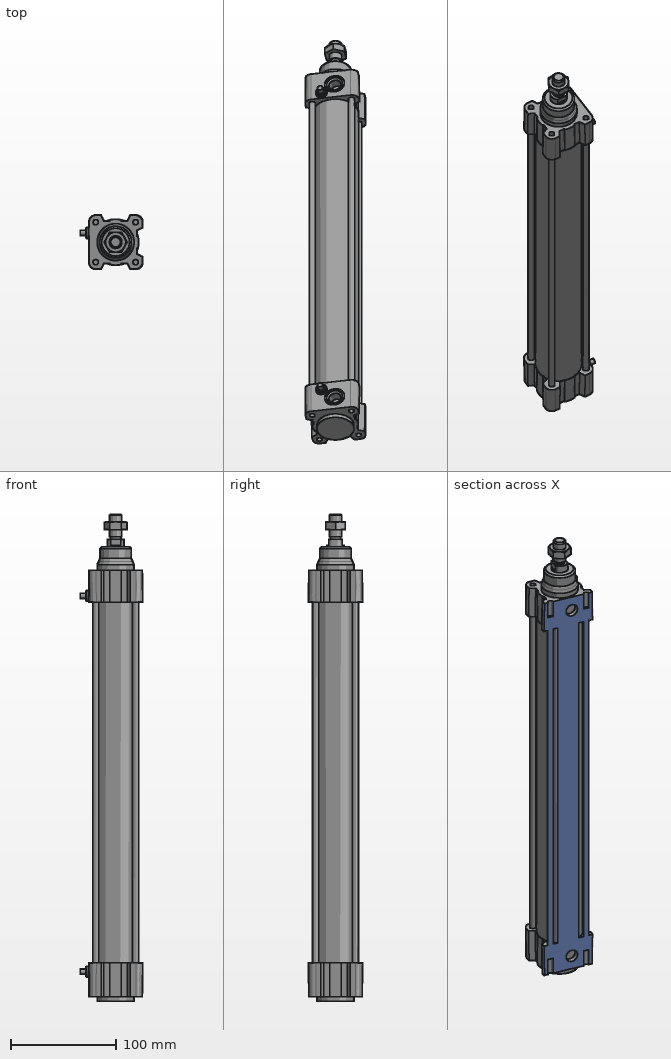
import cadquery as cq
import math

total_length = 463.0
spigot_height = 4.0
rear_head_height = 32.5
front_head_height = 30.5
front_head_bottom = 379.0
rear_head_bottom = spigot_height
rear_head_top = rear_head_bottom + rear_head_height
front_head_top = front_head_bottom + front_head_height

tube_diameter = 44.0
tie_rod_diameter = 6.0
corner_offset = 19.0

lug_radius = 6.5
flank_top = 14.0
flank_foot = 11.0
recess_offset = 20.0
bulge_half_width = 5.5
bulge_diameter = 43.5
head_growth = 0.5
lug_edge = corner_offset + lug_radius
corner_hole_diameter = 5.0
corner_hole_depth = 16.0

spigot_diameter = 35.0
bush_diameter = 30.0
bush_shoulder_diameter = 32.5
collar_top = front_head_top + 5.0
shoulder_top = collar_top + 3.2
bush_foot = shoulder_top + 3.0
bush_top = 432.0
bush_edge_chamfer = 2.0

port_y = -3.5
port_height_front = 395.0
port_height_rear = 18.5
port_spotface_diameter = 19.0
port_spotface_depth = 0.5
port_mouth_diameter = 15.5
port_bore_diameter = 11.5
port_depth = 11.5
screw_y = 9.0
screw_height_front = 385.0
screw_height_rear = 28.2
screw_collar_diameter = 10.5
screw_collar_tip_diameter = 9.0
screw_collar_rim = 2.0
screw_collar_length = 3.0
screw_pin_diameter = 5.0
screw_reach = 34.0

rod_diameter = 16.0
rod_bottom = front_head_bottom
flats_width = 13.0
flats_bottom = bush_top + 1.5
shoulder_z = 439.0
neck_diameter = 10.0
neck_length = 2.5
thread_diameter = 12.0
thread_chamfer = 1.5

nut_width = 19.0
nut_bottom = 448.0
nut_height = 7.5
nut_chamfer_angle = math.radians(30)


def cylinder(diameter, bottom, top):
    return cq.Workplane("XY").workplane(offset=bottom).circle(diameter / 2).extrude(top - bottom)


def turned(x, y, quarters):
    """Turn a point clockwise about the cylinder axis by quarter turns."""
    for _ in range(quarters):
        x, y = y, -x
    return x, y


def head_outline(z, growth):
    """Outline at height z: a flat -X side, recesses on the other three, and a round lug at each corner."""
    radius = lug_radius + growth
    outer = corner_offset + radius
    recess = recess_offset + growth
    lug_mid = corner_offset + radius * math.sqrt(0.5)
    flat_lug_x = radius - lug_edge
    flat_lug_mid = (flat_lug_x - radius * math.sqrt(0.5), lug_mid)

    outline = (
        cq.Workplane("XY", origin=(0, 0, z))
        .moveTo(-lug_edge, corner_offset)
        .threePointArc(flat_lug_mid, (flat_lug_x, outer))
    )
    for side in range(3):
        outline = (
            outline.lineTo(*turned(-flank_top, outer, side))
            .lineTo(*turned(-flank_foot, recess, side))
            .lineTo(*turned(flank_foot, recess, side))
            .lineTo(*turned(flank_top, outer, side))
        )
        if side < 2:
            outline = outline.lineTo(*turned(corner_offset, outer, side)).threePointArc(
                turned(lug_mid, lug_mid, side), turned(outer, corner_offset, side)
            )
    return (
        outline.lineTo(flat_lug_x, -outer)
        .threePointArc((flat_lug_mid[0], -lug_mid), (-lug_edge, -corner_offset))
        .close()
        .wire()
        .val()
    )


def head(height):
    """Head with its end face at Z = 0, growing upwards towards the tube."""
    outlines = [head_outline(0, 0), head_outline(height, head_growth)]
    body = cq.Workplane(cq.Solid.makeLoft(outlines, True))
    bulge_strips = cq.Workplane("XY")
    for angle in (0, 90):
        strip = cq.Workplane("XY").rect(bulge_diameter, 2 * bulge_half_width).extrude(height)
        bulge_strips = bulge_strips.union(strip.rotate((0, 0, 0), (0, 0, 1), angle))
    bulges = cylinder(bulge_diameter, 0, height).intersect(bulge_strips)
    corner_holes = (
        cq.Workplane("XY")
        .rect(2 * corner_offset, 2 * corner_offset, forConstruction=True)
        .vertices()
        .circle(corner_hole_diameter / 2)
        .extrude(corner_hole_depth)
    )
    return body.union(bulges).cut(corner_holes)


def side_revolved(points, y, z):
    """Turn (radius, x) points about an axis parallel to X through (y, z)."""
    return (
        cq.Workplane("XY")
        .polyline([(x, radius) for radius, x in points])
        .close()
        .revolve(360, (0, 0, 0), (1, 0, 0))
        .translate((0, y, z))
    )


def port_cutter(z):
    face = -lug_edge
    floor = face + port_spotface_depth
    mouth_depth = (port_mouth_diameter - port_bore_diameter) / 2
    points = [
        (0, face),
        (port_spotface_diameter / 2, face),
        (port_spotface_diameter / 2, floor),
        (port_mouth_diameter / 2, floor),
        (port_bore_diameter / 2, floor + mouth_depth),
        (port_bore_diameter / 2, face + port_depth),
        (0, face + port_depth),
    ]
    return side_revolved(points, port_y, z)


def cushion_screw(z):
    face = -lug_edge
    collar_tip = face - screw_collar_length
    points = [
        (0, face),
        (screw_collar_diameter / 2, face),
        (screw_collar_diameter / 2, face - screw_collar_rim),
        (screw_collar_tip_diameter / 2, collar_tip),
        (screw_pin_diameter / 2, collar_tip),
        (screw_pin_diameter / 2, -screw_reach),
        (0, -screw_reach),
    ]
    return side_revolved(points, screw_y, z)


def guide_bush():
    points = [
        (0, front_head_top),
        (spigot_diameter / 2, front_head_top),
        (spigot_diameter / 2, collar_top),
        (bush_shoulder_diameter / 2, shoulder_top),
        (bush_diameter / 2, bush_foot),
        (bush_diameter / 2, bush_top - bush_edge_chamfer),
        (bush_diameter / 2 - bush_edge_chamfer, bush_top),
        (0, bush_top),
    ]
    return cq.Workplane("XZ").polyline(points).close().revolve(360, (0, 0, 0), (0, 1, 0))


def make_housing():
    rear_head = head(rear_head_height).translate((0, 0, rear_head_bottom))
    front_head = (
        head(front_head_height)
        .rotate((0, 0, 0), (1, 0, 0), 180)
        .translate((0, 0, front_head_top))
    )
    tie_rods = (
        cq.Workplane("XY")
        .workplane(offset=rear_head_top)
        .rect(2 * corner_offset, 2 * corner_offset, forConstruction=True)
        .vertices()
        .circle(tie_rod_diameter / 2)
        .extrude(front_head_bottom - rear_head_top)
    )
    body = (
        rear_head.union(front_head)
        .union(cylinder(tube_diameter, rear_head_top, front_head_bottom))
        .union(tie_rods)
        .union(cylinder(spigot_diameter, 0, rear_head_bottom))
        .union(guide_bush())
    )
    for z in (port_height_rear, port_height_front):
        body = body.cut(port_cutter(z))
    for z in (screw_height_rear, screw_height_front):
        body = body.union(cushion_screw(z))
    rod_seat = cylinder(rod_diameter, rod_bottom, bush_top)
    return body.cut(rod_seat)


def make_piston_rod():
    neck_top = shoulder_z + neck_length
    shank = cylinder(rod_diameter, rod_bottom, shoulder_z)
    wrench_zone = cylinder(rod_diameter, flats_bottom, shoulder_z)
    between_flats = (
        cq.Workplane("XY")
        .workplane(offset=flats_bottom)
        .rect(rod_diameter, flats_width)
        .extrude(shoulder_z - flats_bottom)
    )
    thread = cylinder(thread_diameter, neck_top, total_length).faces(">Z").chamfer(thread_chamfer)
    return (
        shank.cut(wrench_zone.cut(between_flats))
        .union(cylinder(neck_diameter, shoulder_z, neck_top))
        .union(thread)
    )


def make_nut():
    across_corners = nut_width / math.cos(math.pi / 6)
    top_radius = nut_width / 2
    nut_top = nut_bottom + nut_height
    cone_run = nut_height / math.tan(nut_chamfer_angle)
    chamfer_cone = (
        cq.Workplane("XZ")
        .polyline([
            (0, nut_bottom),
            (top_radius + cone_run, nut_bottom),
            (top_radius, nut_top),
            (0, nut_top),
        ])
        .close()
        .revolve(360, (0, 0, 0), (0, 1, 0))
    )
    return (
        cq.Workplane("XY")
        .workplane(offset=nut_bottom)
        .polygon(6, across_corners)
        .circle(thread_diameter / 2)
        .extrude(nut_height)
        .intersect(chamfer_cone)
    )


housing = make_housing().solids()
piston_rod = make_piston_rod().solids()
nut = make_nut().solids()

result = cq.Compound.makeCompound([housing.val(), piston_rod.val(), nut.val()])